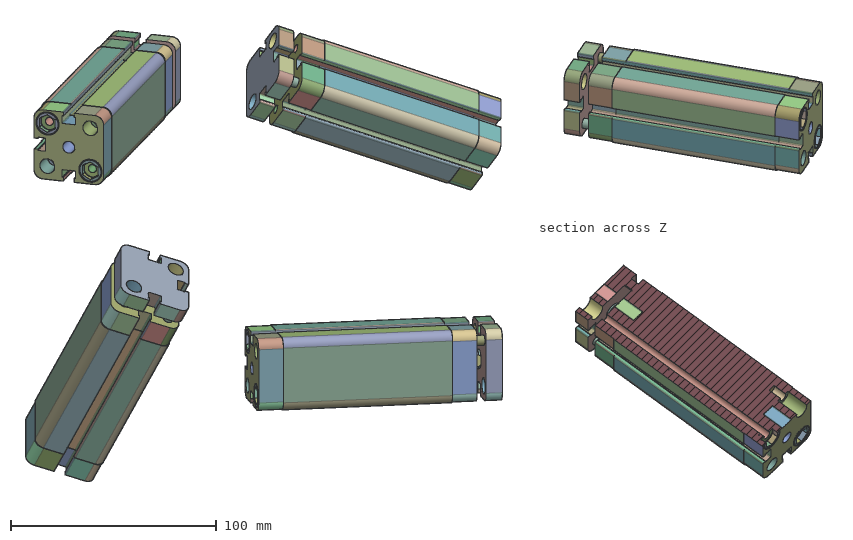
import cadquery as cq
import math

width = 36.2
length = 120.5
front_y = -length / 2
back_y = length / 2

cap_length = 12.2
plate_thickness = 8.1
gap = 4.5
plate_y = back_y - plate_thickness
body_end_y = plate_y - gap
body_length = body_end_y - front_y
tube_length = body_length - 2 * cap_length

corner_radius = 4.5
cap_inset = 0.2
cap_corner_radius = 4.6

slot_mouth = 5.5
slot_width = 6.7
slot_lip = 2.3
slot_floor = 12.2
slot_radius = 0.4
slot_angles = (0, 90, 180)

rod_diameter = 10.0
rod_flats = 8.2
rod_chamfer_length = 1.1
rod_chamfer_depth = 0.4
flat_length = 3.3

pin_diameter = 5.0
pin_offset = 11.9

shaft_start_y = body_end_y - cap_length / 2
shaft_length = plate_y - shaft_start_y

hole_offset = 11.0
port_diameter = 6.0
port_depth = 12.0
thread_diameter = 7.5
thread_depth = 12.0
bolt_hole_diameter = 4.1
bolt_hole_depth = 19.3
ring_outer_diameter = 11.7
ring_inner_diameter = 11.0
ring_depth = 0.6
hex_flats = 8.0
hex_depth = 3.0
socket_bore_diameter = 8.5
socket_bore_length = 0.4
plate_bore_diameter = 8.0

screw_points = [(-hole_offset, hole_offset), (hole_offset, -hole_offset)]
blind_points = [(hole_offset, hole_offset), (-hole_offset, -hole_offset)]
pin_points = [(pin_offset, pin_offset), (-pin_offset, -pin_offset)]


def section_plane(y):
    """Sketch plane across the axis: local x is X, local y is Z, extrusion runs toward +Y."""
    return cq.Workplane(cq.Plane(origin=(0, y, 0), xDir=(1, 0, 0), normal=(0, -1, 0)))


def cylinder(points, diameter, start_y, depth):
    """Cylinders along +Y, one at each (x, z) point."""
    return section_plane(start_y).pushPoints(points).circle(diameter / 2).extrude(-depth)


def t_slot(inset, start_y, depth):
    """T-slot open toward +Z with rounded mouth and floor edges, its outer face and floor sunk by the inset."""
    floor = slot_floor - inset
    outer_z = width / 2 - inset
    lip_z = width / 2 - slot_lip
    undercut_height = lip_z - floor
    undercut = (
        section_plane(start_y)
        .center(0, floor + undercut_height / 2)
        .rect(slot_width, undercut_height)
        .extrude(-depth)
        .edges("|Y and <Z")
        .fillet(slot_radius)
    )
    edge = slot_mouth / 2
    opening = edge + slot_radius
    arc_offset = slot_radius * (1 - math.sqrt(0.5))
    mouth = (
        section_plane(start_y)
        .moveTo(-edge, lip_z)
        .lineTo(edge, lip_z)
        .lineTo(edge, outer_z - slot_radius)
        .threePointArc((edge + arc_offset, outer_z - arc_offset), (opening, outer_z))
        .lineTo(-opening, outer_z)
        .threePointArc((-edge - arc_offset, outer_z - arc_offset), (-edge, outer_z - slot_radius))
        .close()
        .extrude(-depth)
    )
    return undercut.union(mouth)


def slotted_block(inset, radius, start_y, depth):
    """Rounded square block with a T-slot on three sides, its section shrunk all round by the inset."""
    size = width - 2 * inset
    block = section_plane(start_y).rect(size, size).extrude(-depth).edges("|Y").fillet(radius)
    slot = t_slot(inset, start_y, depth)
    for angle in slot_angles:
        block = block.cut(slot.rotate((0, 0, 0), (0, 1, 0), -angle))
    return block


def piston_rod():
    """Rod with a chamfered end and a flat on each X side that runs out in a 45 degree step."""
    radius = rod_diameter / 2
    rod = cylinder([(0, 0)], rod_diameter, shaft_start_y, shaft_length)
    rod = rod.faces(">Y").chamfer(rod_chamfer_length, rod_chamfer_depth)
    half_flats = rod_flats / 2
    step = radius - half_flats
    flat_end_y = plate_y - flat_length
    flat_cut = (
        cq.Workplane("XY", origin=(0, 0, -radius))
        .polyline([
            (half_flats, plate_y),
            (half_flats, flat_end_y),
            (radius, flat_end_y - step),
            (radius, plate_y),
        ])
        .close()
        .extrude(rod_diameter)
    )
    return rod.cut(flat_cut).cut(flat_cut.mirror("YZ"))


def hex_sockets():
    """Hexagon sockets with a corner pointing up, each with a short round recess at its floor."""
    radius = hex_flats / 2 / math.cos(math.pi / 6)
    angles = [math.radians(90 + 60 * i) for i in range(6)]
    sockets = cylinder(screw_points, socket_bore_diameter, front_y + hex_depth, socket_bore_length)
    for x, z in screw_points:
        corners = [(x + radius * math.cos(a), z + radius * math.sin(a)) for a in angles]
        sockets = sockets.union(section_plane(front_y).polyline(corners).close().extrude(-hex_depth))
    return sockets


def screw_rings():
    """Shallow ring grooves that outline the screw heads."""
    outer = cylinder(screw_points, ring_outer_diameter, front_y, ring_depth)
    return outer.cut(cylinder(screw_points, ring_inner_diameter, front_y, ring_depth))


body = slotted_block(cap_inset, cap_corner_radius, front_y, cap_length)
body = body.union(slotted_block(0, corner_radius, front_y + cap_length, tube_length))
body = body.union(slotted_block(cap_inset, cap_corner_radius, body_end_y - cap_length, cap_length))

body = body.cut(cylinder([(0, 0)], port_diameter, front_y, port_depth))
body = body.cut(cylinder(blind_points, thread_diameter, front_y, thread_depth))
body = body.cut(cylinder(blind_points, bolt_hole_diameter, front_y, bolt_hole_depth))

body = body.cut(screw_rings()).cut(hex_sockets())
body = body.cut(cylinder(screw_points, bolt_hole_diameter, front_y, body_length))

plate = slotted_block(cap_inset, cap_corner_radius, plate_y, plate_thickness)
plate = plate.cut(cylinder(screw_points, plate_bore_diameter, plate_y, plate_thickness))

pins = cylinder(pin_points, pin_diameter, shaft_start_y, shaft_length)

result = body.union(plate).union(piston_rod()).union(pins)